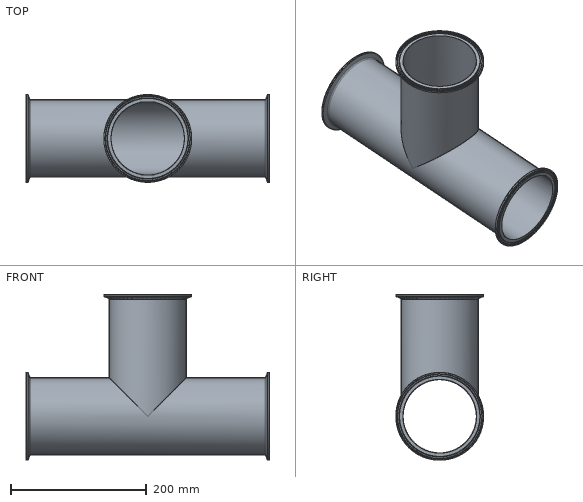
import cadquery as cq
import math

run_length = 360.0
branch_height = 180.0
bore_diameter = 108.5
tube_diameter = 114.5
ferrule_diameter = 130.0
rim_thickness = 3.0
ferrule_back_angle = 20.0
neck_fillet = 1.8

groove_outer_radius = 63.0
groove_inner_radius = 59.5
groove_depth = 1.5
groove_side_run = 0.7

tube_radius = tube_diameter / 2
ferrule_radius = ferrule_diameter / 2
cone_length = (ferrule_radius - tube_radius) * math.tan(math.radians(ferrule_back_angle))
neck_length = rim_thickness + cone_length
fillet_tangent = neck_fillet * math.tan(math.radians(90 - ferrule_back_angle) / 2)


def end_plane(direction, distance):
    """Plane on a tube end face, with its normal pointing out of the tube."""
    origin = tuple(distance * part for part in direction)
    return cq.Plane(origin=origin, xDir=(0, 1, 0), normal=direction)


def ring(profile, plane):
    """Revolve a (radius, height) profile about the normal of an end plane."""
    solid = profile.close().revolve(360, (0, 0, 0), (0, 1, 0))
    solid = solid.rotate((0, 0, 0), (1, 0, 0), 90)
    return cq.Workplane(obj=solid.val().moved(cq.Location(plane)))


def ferrule(plane):
    """Solid clamp ferrule with a conical back blended into the tube."""
    angle = math.radians(ferrule_back_angle)
    cone_tangent = (
        tube_radius + fillet_tangent * math.cos(angle),
        -neck_length + fillet_tangent * math.sin(angle),
    )
    tube_tangent = (tube_radius, -neck_length - fillet_tangent)
    arc_center = (tube_radius + neck_fillet, tube_tangent[1])
    middle_angle = math.radians(180 - (90 - ferrule_back_angle) / 2)
    arc_middle = (
        arc_center[0] + neck_fillet * math.cos(middle_angle),
        arc_center[1] + neck_fillet * math.sin(middle_angle),
    )
    profile = (
        cq.Workplane("XY")
        .lineTo(ferrule_radius, 0)
        .lineTo(ferrule_radius, -rim_thickness)
        .lineTo(*cone_tangent)
        .threePointArc(arc_middle, tube_tangent)
        .lineTo(0, tube_tangent[1])
    )
    return ring(profile, plane)


def gasket_groove(plane):
    """Cutter for the groove with sloping sides in an end face."""
    profile = (
        cq.Workplane("XY")
        .moveTo(groove_inner_radius, 0)
        .lineTo(groove_inner_radius + groove_side_run, -groove_depth)
        .lineTo(groove_outer_radius - groove_side_run, -groove_depth)
        .lineTo(groove_outer_radius, 0)
    )
    return ring(profile, plane)


def tee(diameter):
    """Solid run and branch cylinders of one diameter."""
    run = cq.Workplane("YZ").circle(diameter / 2).extrude(run_length / 2, both=True)
    branch = cq.Workplane("XY").circle(diameter / 2).extrude(branch_height)
    return run.union(branch)


ends = [
    end_plane((-1, 0, 0), run_length / 2),
    end_plane((1, 0, 0), run_length / 2),
    end_plane((0, 0, 1), branch_height),
]

body = tee(tube_diameter)
for end in ends:
    body = body.union(ferrule(end))
for end in ends:
    body = body.cut(gasket_groove(end))

result = body.cut(tee(bore_diameter))